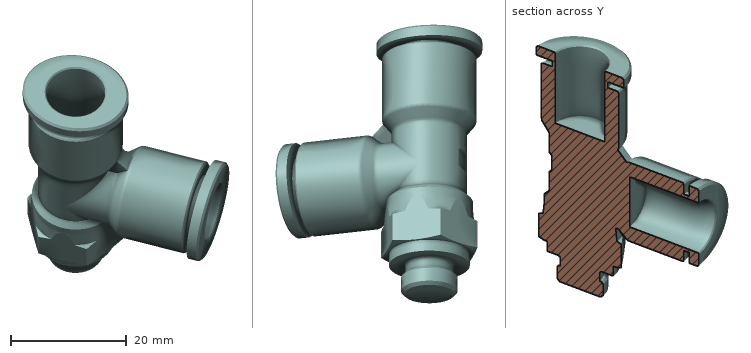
import cadquery as cq
import math

arm_length = 25.0
junction_height = 46.9 - arm_length
neck_radius = 6.5

socket_radius = 8.15
socket_end = 21.85
socket_edge_chamfer = 0.3
cone_start = 7.95
cone_end = 10.05
cone_fillet = 0.95

ring_stem_radius = 5.85
ring_long_radius = 9.25
ring_short_radius = 8.0
ring_thickness = 2.05
ring_chamfer = 0.38
bore_radius = 5.1
bore_depth = 14.55
bore_chamfer = 0.25

web_width = 2.95
web_reach = 17.78
web_overlap = 0.45

flat_distance = 6.0
flat_height = 3.0
flat_center_height = 23.85

collar_radius = 7.55
collar_top = 17.9
collar_chamfer = 1.0
collar_bottom = 15.5

hex_corner_radius = collar_radius / math.cos(math.pi / 6)
hex_bottom = 7.3
hex_bottom_drop = 0.38
hex_shoulder_height = 12.8
hex_shoulder_radius = 7.85
hex_top_drop = 0.3

washer_radius = 7.0
washer_bottom = 5.3
groove_radius = 4.17
groove_top = 4.8
groove_bottom = 3.4
thread_radius = 4.9
thread_top = 2.95
thread_chamfer = 0.55


def revolve_about_z(profile):
    return profile.close().revolve(360, (0, 0, 0), (0, 1, 0))


def make_socket():
    """Neck, filleted cone and socket barrel along +Z, starting at the junction."""
    cone_angle = math.atan2(socket_radius - neck_radius, cone_end - cone_start)
    tangent = cone_fillet * math.tan(cone_angle / 2)
    radial = tangent * math.sin(cone_angle)
    axial = tangent * math.cos(cone_angle)
    profile = (
        cq.Workplane("XZ")
        .lineTo(neck_radius, 0)
        .lineTo(neck_radius, cone_start - tangent)
        .radiusArc((neck_radius + radial, cone_start + axial), cone_fillet)
        .lineTo(socket_radius - radial, cone_end - axial)
        .radiusArc((socket_radius, cone_end + tangent), -cone_fillet)
        .lineTo(socket_radius, socket_end - socket_edge_chamfer)
        .lineTo(socket_radius - socket_edge_chamfer, socket_end)
        .lineTo(0, socket_end)
    )
    return revolve_about_z(profile)


def make_release_ring():
    """Round stem with an elliptical flange, longest along X."""
    flange_start = arm_length - ring_thickness
    stem = (
        cq.Workplane("XY")
        .workplane(offset=socket_end)
        .circle(ring_stem_radius)
        .extrude(flange_start - socket_end)
    )
    flange = (
        cq.Workplane("XY")
        .workplane(offset=flange_start)
        .ellipse(ring_long_radius, ring_short_radius)
        .extrude(ring_thickness)
        .faces(">Z")
        .chamfer(ring_chamfer)
    )
    return stem.union(flange)


def make_bore():
    """Blind tube bore with a chamfered mouth."""
    profile = (
        cq.Workplane("XZ")
        .moveTo(0, arm_length - bore_depth)
        .lineTo(bore_radius, arm_length - bore_depth)
        .lineTo(bore_radius, arm_length - bore_chamfer)
        .lineTo(bore_radius + bore_chamfer, arm_length)
        .lineTo(0, arm_length)
    )
    return revolve_about_z(profile)


def make_arm():
    return make_socket().union(make_release_ring()).cut(make_bore())


def make_web():
    """Triangular web filling the corner outside both bores."""
    inner = neck_radius - web_overlap
    return (
        cq.Workplane("XZ")
        .moveTo(inner, inner)
        .lineTo(web_reach - inner, inner)
        .lineTo(inner, web_reach - inner)
        .close()
        .extrude(web_width / 2, both=True)
    )


def make_flat_cutter():
    """Wedge with 45 degree flanks that leaves a flat facing -X."""
    depth = 2 * (neck_radius - flat_distance)
    return (
        cq.Workplane("XZ")
        .moveTo(-flat_distance, flat_center_height - flat_height / 2)
        .lineTo(-flat_distance, flat_center_height + flat_height / 2)
        .lineTo(-flat_distance - depth, flat_center_height + flat_height / 2 + depth)
        .lineTo(-flat_distance - depth, flat_center_height - flat_height / 2 - depth)
        .close()
        .extrude(neck_radius, both=True)
    )


def make_collar():
    profile = (
        cq.Workplane("XZ")
        .moveTo(0, collar_bottom)
        .lineTo(collar_radius, collar_bottom)
        .lineTo(collar_radius, collar_top - collar_chamfer)
        .lineTo(collar_radius - collar_chamfer, collar_top)
        .lineTo(0, collar_top)
    )
    return revolve_about_z(profile)


def make_hex_nut():
    """Hexagon prism trimmed by a turned envelope, corners on the X axis."""
    prism = (
        cq.Workplane("XY")
        .workplane(offset=hex_bottom)
        .polygon(6, 2 * hex_corner_radius)
        .extrude(collar_bottom - hex_bottom)
    )
    envelope = (
        cq.Workplane("XZ")
        .moveTo(0, hex_bottom)
        .lineTo(collar_radius, hex_bottom)
        .lineTo(hex_corner_radius, hex_bottom + hex_bottom_drop)
        .lineTo(hex_corner_radius, hex_shoulder_height - hex_top_drop)
        .lineTo(hex_shoulder_radius, hex_shoulder_height)
        .lineTo(collar_radius, collar_bottom)
        .lineTo(0, collar_bottom)
    )
    return prism.intersect(revolve_about_z(envelope))


def make_threaded_end():
    """Sealing washer, relief groove and thread stub down to the base."""
    groove_fillet = washer_bottom - groove_top
    profile = (
        cq.Workplane("XZ")
        .lineTo(thread_radius - thread_chamfer, 0)
        .lineTo(thread_radius, thread_chamfer)
        .lineTo(thread_radius, thread_top)
        .lineTo(thread_radius - (groove_bottom - thread_top), groove_bottom)
        .lineTo(groove_radius, groove_bottom)
        .lineTo(groove_radius, groove_top)
        .radiusArc((groove_radius + groove_fillet, washer_bottom), groove_fillet)
        .lineTo(washer_radius, washer_bottom)
        .lineTo(washer_radius, hex_bottom)
        .lineTo(0, hex_bottom)
    )
    return revolve_about_z(profile)


upright_arm = make_arm()
side_arm = (
    make_arm()
    .rotate((0, 0, 0), (0, 0, 1), 90)
    .rotate((0, 0, 0), (0, 1, 0), 90)
)
lower_neck = (
    cq.Workplane("XY")
    .workplane(offset=collar_top - junction_height)
    .circle(neck_radius)
    .extrude(junction_height - collar_top)
)

tee = upright_arm.union(lower_neck).union(side_arm).union(make_web())
tee = tee.translate((0, 0, junction_height)).cut(make_flat_cutter())

result = tee.union(make_collar()).union(make_hex_nut()).union(make_threaded_end())